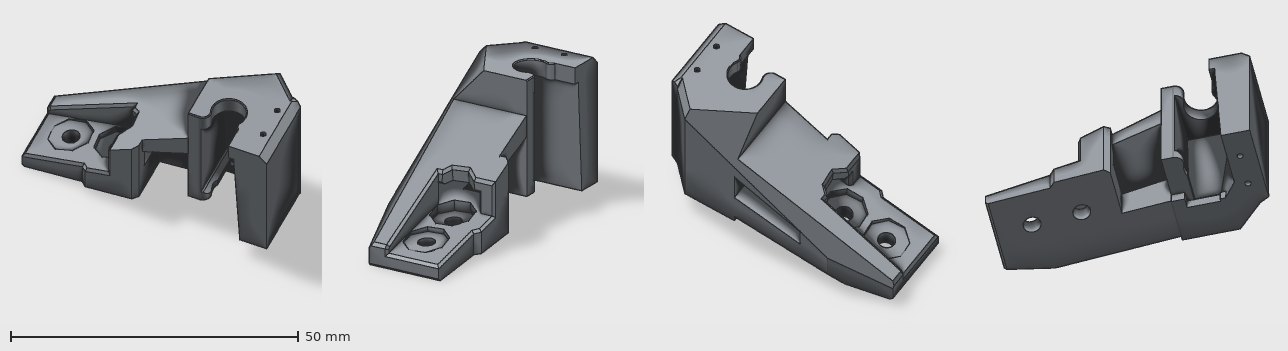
import cadquery as cq
import math

length = 48
width = 20.1
height = 26.9
margin = 2.4

block_left = 31.1
block_right = 47.85
block_bottom = 3.1
finger_front = 4.05
bevel = 1.45

corner_cut_start = 41.45
corner_cut_end = 46.15
corner_cut_back = width - (corner_cut_end - corner_cut_start)
blunt_corner_back = 14.55
corner_bevel_inset = 1.6
blunt_bevel_inset = 1.35
blunt_bevel_height = 0.7
toe_front = 14.0
toe_height = 0.25

tip_bevel = 0.5
tip_bevel_height = 0.65
tip_front = 2.75
tip_back = 17.0
tip_top = 4.45
arm_top_at_block = 20.25
back_taper_end = 11.55
post_left = 12.5
post_right = 22.3
post_front = 1.8
post_bevel = 0.95
back_bevel_depth = 0.8
back_bevel_height = 1.2

floor_at_tip = 3.0
floor_at_block = 10.05
pocket_end = 17.25
pocket_back = 13.75
pocket_bevel = 0.5
screw_x = (6.5, 15.35)
screw_y = 9.25
screw_diameter = 3.1
nut_diameter = 8.15
recess_floor = 3.25
nut_turn = -16.5

ceiling_at_post = 12.6
ceiling_at_block = 16.2
tunnel_front = 5.05
tunnel_bevel = 0.6
high_bar_front = 4.15
low_bar_front = 11.55

facet_back_at_tip = 16.25
facet_back = 19.0
facet_back_at_top = 12.85

plate_bottom = 23.8
seat_x = 37.5
seat_y = 7.15
seat_radius = 3.0
seat_bevel = 0.2
leg_left = 40.55
left_lip_radius = 1.55
right_lip_radius = 1.1
right_lip_y = 5.15

cavity_left = 33.5
cavity_right_top = 41.55
cavity_right_bottom = 42.7
cavity_back_top = 13.85
cavity_back_bottom = 15.35
slant_start_top = 13.45
slant_start_bottom = 10.2
slant_end_top = 41.25
slant_end_bottom = 38.7

foot_top = 5.15
foot_front = 13.1
foot_left_front = 11.7
foot_recess = (cavity_left, 39.5)
foot_recess_depth = 0.5
foot_right = 42.5
ledge_front = 14.25
ledge_low = 6.35
ledge_high = 7.2

pin_diameter = 1.0
pin_x = 45.0
pin_y = (5.0, 11.0)

tolerance = 4.8e-05


def height_on_line(x, start, end):
    """Height at x on the line through two (x, z) points."""
    return start[1] + (end[1] - start[1]) * (x - start[0]) / (end[0] - start[0])


def base_at(x):
    return height_on_line(x, (tip_bevel, 0), (block_left, block_bottom))


def floor_at(x):
    return height_on_line(x, (tip_bevel, floor_at_tip), (block_left, floor_at_block))


def ceiling_at(x):
    return height_on_line(x, (post_right, ceiling_at_post), (block_left, ceiling_at_block))


def box(x, y, z):
    """Box from (low, high) pairs."""
    size = (x[1] - x[0], y[1] - y[0], z[1] - z[0])
    return cq.Workplane("XY").box(*size, centered=False).translate((x[0], y[0], z[0]))


def side_prism(points, front, back):
    """Prism with an XZ outline, running from front to back along Y."""
    return (
        cq.Workplane("XZ", origin=(0, front, 0)).polyline(points).close().extrude(front - back)
    )


def plan_prism(points, bottom, top):
    """Prism with an XY outline, running from bottom to top along Z."""
    return cq.Workplane("XY", origin=(0, 0, bottom)).polyline(points).close().extrude(top - bottom)


def half_space(first, second, third):
    """Large block on the side from which the three points run counter-clockwise."""
    first, second, third = cq.Vector(*first), cq.Vector(*second), cq.Vector(*third)
    normal = (second - first).cross(third - first)
    plane = cq.Plane(origin=first, xDir=second - first, normal=normal)
    return cq.Workplane(plane).rect(4 * length, 4 * length).extrude(length)



arm_side = [
    (0, tip_bevel),
    (tip_bevel, 0),
    (block_left, block_bottom),
    (block_left, arm_top_at_block),
    (tip_bevel, tip_top),
    (0, tip_top - tip_bevel_height),
]
arm_plan = [
    (0, tip_front),
    (post_left - post_bevel, tip_front),
    (post_left, post_front),
    (post_right - post_bevel, post_front),
    (post_right, post_front + post_bevel),
    (post_right, high_bar_front),
    (block_left, high_bar_front),
    (block_left, width),
    (back_taper_end, width),
    (0, tip_back),
]
arm = side_prism(arm_side, 0, width).intersect(plan_prism(arm_plan, 0, height))


def across_base(x, z):
    """Workplane parallel to the sloping underside of the arm."""
    slope = base_at(0.5) - base_at(0)
    plane = cq.Plane(origin=(x, screw_y, z), xDir=(0.5, 0, slope), normal=(-slope, 0, 0.5))
    return cq.Workplane(plane)


def recess_bottom(x):
    """Workplane on the bottom of a nut recess."""
    return across_base(x, base_at(x) + recess_floor)


def nut_recess(x):
    """Octagonal recess open to the top."""
    return (
        recess_bottom(x)
        .transformed(rotate=(0, 0, nut_turn))
        .polygon(8, nut_diameter)
        .extrude(height)
    )


pocket_side = [
    (-margin, floor_at(-margin)),
    (pocket_end - pocket_bevel, floor_at(pocket_end - pocket_bevel)),
    (pocket_end - pocket_bevel, height),
    (-margin, height),
]
notch_side = [
    (0, floor_at(0)),
    (post_right, floor_at(post_right)),
    (post_right, height),
    (0, height),
]
notch = nut_recess(screw_x[1]).intersect(side_prism(notch_side, 0, width))
pocket = side_prism(pocket_side, -margin, pocket_back - pocket_bevel).union(notch)


def touches(solid, edge):
    """True where the middle of the edge lies on the surface of the solid."""
    middle = cq.Vertex.makeVertex(*edge.positionAt(0.5).toTuple())
    return any(middle.distance(face) < tolerance for face in solid.faces().vals())


blank = arm
arm = (
    blank.cut(pocket)
    .edges()
    .filter(lambda edge: touches(blank, edge) and touches(pocket, edge))
    .chamfer(pocket_bevel)
)

for x in screw_x:
    hole = recess_bottom(x).circle(screw_diameter / 2).extrude(-height / 2)
    arm = arm.cut(nut_recess(x)).cut(hole)

tunnel_start = pocket_end - pocket_bevel
tunnel_plan = [
    (tunnel_start, tunnel_front - tunnel_bevel),
    (tunnel_start + tunnel_bevel, tunnel_front),
    (post_right, tunnel_front),
    (post_right, width),
    (tunnel_start + tunnel_bevel, width),
    (tunnel_start + tunnel_bevel, pocket_back),
    (tunnel_start, pocket_back - pocket_bevel),
]


def opening(start, end):
    """XZ outline between the floor line and the ceiling line."""
    return [
        (start, floor_at(start)),
        (end, floor_at(end)),
        (end, ceiling_at(end)),
        (start, ceiling_at(start)),
    ]


tunnel = side_prism(opening(tunnel_start, post_right), 0, width)
mouth_bevel = [
    (tunnel_start, floor_at(tunnel_start)),
    (tunnel_start + tunnel_bevel, ceiling_at(tunnel_start)),
    (tunnel_start, ceiling_at(tunnel_start) + tunnel_bevel),
]
tunnel = tunnel.union(side_prism(mouth_bevel, 0, width))
arm = arm.cut(tunnel.intersect(plan_prism(tunnel_plan, 0, height)))

arm = arm.cut(side_prism(opening(post_right, block_left), 0, width))
below_upper_bar = [
    (post_right, -margin),
    (block_left, -margin),
    (block_left, ceiling_at_block),
    (post_right, ceiling_at_post),
]
arm = arm.cut(side_prism(below_upper_bar, 0, low_bar_front))

back_bevel = half_space(
    (0, width - back_bevel_depth, base_at(0)),
    (0, width, base_at(0) + back_bevel_height),
    (block_left, width, block_bottom + back_bevel_height),
)
arm = arm.cut(back_bevel)



def lip_centre(radius, y, side):
    """Centre of a lip whose rounding runs smoothly into the seat; side is -1 for left, 1 for right."""
    reach = seat_radius + radius
    return seat_x + side * math.sqrt(reach**2 - (seat_y - y) ** 2), y


def lip_joint(radius, centre):
    """Point where the seat touches a lip."""
    share = seat_radius / (seat_radius + radius)
    return seat_x + share * (centre[0] - seat_x), seat_y + share * (centre[1] - seat_y)


left_lip = lip_centre(left_lip_radius, finger_front + left_lip_radius, -1)
right_lip = lip_centre(right_lip_radius, right_lip_y, 1)
neck_left = left_lip[0] + left_lip_radius
neck_right = right_lip[0] - right_lip_radius
left_joint = lip_joint(left_lip_radius, left_lip)
right_joint = lip_joint(right_lip_radius, right_lip)
right_lip_start = right_lip_y - math.sqrt(right_lip_radius**2 - (right_lip[0] - leg_left) ** 2)
left_lip_middle = (
    left_lip[0] + left_lip_radius * math.sqrt(0.5),
    left_lip[1] - left_lip_radius * math.sqrt(0.5),
)

block = (
    cq.Workplane("XY", origin=(0, 0, block_bottom))
    .moveTo(block_left, finger_front)
    .lineTo(left_lip[0], finger_front)
    .threePointArc(left_lip_middle, left_joint)
    .threePointArc((seat_x, seat_y + seat_radius), right_joint)
    .threePointArc((neck_right, right_lip_y), (leg_left, right_lip_start))
    .lineTo(block_right, right_lip_start)
    .lineTo(block_right, blunt_corner_back)
    .lineTo(corner_cut_end, corner_cut_back)
    .lineTo(corner_cut_start, width)
    .lineTo(block_left, width)
    .close()
    .extrude(height - block_bottom)
)

rim_back = seat_y + seat_radius + seat_bevel
seat_rim = cq.selectors.BoxSelector(
    (block_left, 0, height - tolerance),
    (leg_left, rim_back, height + tolerance),
)
block = block.faces(">Z").edges(seat_rim).chamfer(seat_bevel)
block = block.union(box((leg_left, block_right), (0, seat_y), (block_bottom, height)))

right_bevel = half_space(
    (block_right - bevel, 0, height),
    (block_right, 0, height - bevel),
    (block_right, width, height - bevel),
)
corner_bevel = half_space(
    (corner_cut_start, width, height - bevel),
    (corner_cut_start - corner_bevel_inset, width, height),
    (corner_cut_end - corner_bevel_inset, corner_cut_back, height),
)
blunt_bevel = half_space(
    (corner_cut_end, corner_cut_back, height - blunt_bevel_height),
    (corner_cut_end, corner_cut_back - blunt_bevel_inset, height),
    (block_right, blunt_corner_back, height - blunt_bevel_height),
)
before_blunt = box((0, corner_cut_end), (0, width), (0, height))
block = block.cut(right_bevel)
block = block.cut(corner_bevel.intersect(before_blunt)).cut(blunt_bevel.cut(before_blunt))

toe = [
    (corner_cut_end, toe_front),
    (block_right, toe_front),
    (length, toe_front + length - block_right),
    (block_right, blunt_corner_back),
    (corner_cut_end, blunt_corner_back),
]
block = block.union(plan_prism(toe, block_bottom, block_bottom + toe_height))

pins = [(pin_x, y) for y in pin_y]
block = block.cut(
    cq.Workplane("XY").pushPoints(pins).circle(pin_diameter / 2).extrude(height)
)


def cavity_outline(right, back, slant_start, slant_end):
    """Plan of the cavity at one level; its back right corner is cut at a slant."""
    return [
        (cavity_left, -margin),
        (right, -margin),
        (right, slant_start),
        (slant_end, back),
        (cavity_left, back),
    ]


cavity_bottom = cavity_outline(
    cavity_right_bottom, cavity_back_bottom, slant_start_bottom, slant_end_bottom
)
cavity_top = cavity_outline(cavity_right_top, cavity_back_top, slant_start_top, slant_end_top)
cavity = (
    cq.Workplane("XY", origin=(0, 0, block_bottom))
    .polyline(cavity_bottom)
    .close()
    .workplane(offset=plate_bottom - block_bottom)
    .polyline(cavity_top)
    .close()
    .loft(ruled=True)
)

foot_side = [
    (width, block_bottom),
    (foot_front, block_bottom),
    (foot_front, foot_top),
    (ledge_front, foot_top),
    (ledge_front, ledge_low),
    (ledge_front + ledge_high - ledge_low, ledge_high),
    (width, ledge_high),
]
foot = (
    cq.Workplane("YZ", origin=(block_left, 0, 0))
    .polyline(foot_side)
    .close()
    .extrude(foot_right - block_left)
)

low_lip_side = [
    (block_left, foot_top),
    (neck_left, foot_top),
    (neck_left, ledge_low),
    (neck_left - ledge_high + ledge_low, ledge_high),
    (block_left, ledge_high),
]
low_lip = side_prism(low_lip_side, 0, width)
block = block.cut(cavity.cut(foot).cut(low_lip))

block = block.cut(box(foot_recess, (-margin, foot_front + foot_recess_depth), (0, foot_top)))

block = block.cut(box((0, foot_recess[0]), (-margin, foot_left_front), (0, foot_top)))


part = block.union(arm)

facet = half_space(
    (block_left, facet_back, arm_top_at_block),
    (tip_bevel, facet_back_at_tip, tip_top),
    (block_left, facet_back_at_top, height),
)
result = part.cut(facet)